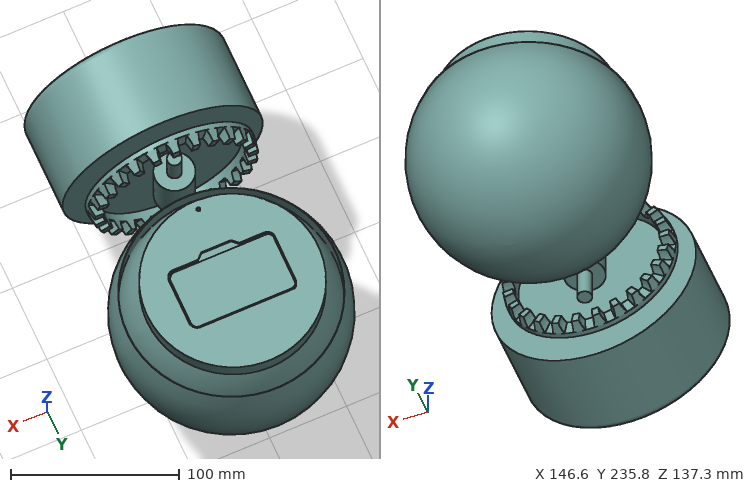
import cadquery as cq
import math


bowl_radius = 73.3
bowl_rim_height = 29.2
bowl_mouth_radius = 67.0
ball_radius = 69.0
ball_tilt = -1.0
neck_radius = 55.5
neck_top_height = 51.6
neck_offset_y = 1.0

lid_length = 67.5
lid_width = 37.5
lid_corner_radius = 4.0
lid_thickness = 2.1
side_gap = 0.7
front_gap = 1.7
notch_depth = 3.5
notch_mouth_width = 26.9
notch_end_width = 19.3
pinhole_radius = 1.2
pinhole_depth = lid_thickness
pinhole_offset = 49.7

gear_x = -2.8
gear_z = 1.0
gear_front_y = -97.0
gear_rim_y = -93.3
gear_root_y = -91.7
gear_tip_y = -85.8
gear_radius = 54.5
gear_tip_radius = 53.0
gear_bore_radius = 47.0
tooth_count = 25
gap_root_width = 5.7
gap_middle_width = 8.0
gap_mouth_width = 9.0
gap_overrun = 2.4

roller_x = -2.0
roller_y = -87.0
roller_z = 6.0
roller_radius = 12.5
roller_length = 34.5
shaft_radius = 4.5
shaft_length = 74.3

drum_radius = 65.0
drum_length = 59.5
drum_x = -1.5
drum_z = -1.0
drum_front_y = -162.5
drum_fillet = 5.0


def make_bowl():
    mouth_depth = bowl_rim_height - math.sqrt(ball_radius**2 - bowl_mouth_radius**2)
    rim_plane = cq.Workplane("XY", origin=(0, 0, bowl_rim_height))
    above_rim = rim_plane.circle(bowl_radius).extrude(bowl_radius)
    mouth = rim_plane.circle(bowl_mouth_radius).extrude(-mouth_depth)
    seat = cq.Workplane("XY").sphere(ball_radius)
    return cq.Workplane("XY").sphere(bowl_radius).cut(above_rim).cut(mouth).cut(seat).solids()


def tilt(body):
    return body.rotate((0, 0, 0), (1, 0, 0), ball_tilt)


def neck_top():
    """Workplane on the top face of the untilted neck."""
    return cq.Workplane("XY", origin=(0, neck_offset_y, neck_top_height))


def make_lid():
    lid = neck_top().rect(lid_length, lid_width).extrude(-lid_thickness)
    return tilt(lid.edges("|Z").fillet(lid_corner_radius).solids())


def make_lid_pocket():
    """Pocket around the lid, with a finger notch in its front edge."""
    pocket_length = lid_length + 2 * side_gap
    pocket_width = lid_width + side_gap + front_gap
    front_edge = -lid_width / 2 - front_gap
    pocket = (
        neck_top()
        .center(0, front_edge + pocket_width / 2)
        .rect(pocket_length, pocket_width)
        .extrude(-lid_thickness)
        .edges("|Z")
        .fillet(lid_corner_radius + side_gap)
    )
    notch = (
        neck_top()
        .moveTo(-notch_mouth_width / 2, front_edge)
        .lineTo(-notch_end_width / 2, front_edge - notch_depth)
        .lineTo(notch_end_width / 2, front_edge - notch_depth)
        .lineTo(notch_mouth_width / 2, front_edge)
        .close()
        .extrude(-lid_thickness)
    )
    return pocket.union(notch)


def make_ball():
    ball = cq.Workplane("XY").sphere(ball_radius)
    above_neck = neck_top().circle(bowl_radius).extrude(bowl_radius)
    neck = neck_top().circle(neck_radius).extrude(-neck_top_height)
    pinhole = neck_top().center(0, -pinhole_offset).circle(pinhole_radius).extrude(-pinhole_depth)
    ball = ball.cut(above_neck).union(neck)
    return tilt(ball.cut(make_lid_pocket()).cut(pinhole).solids())


def gap_section(radius, root_y):
    """Outline of the gap between two teeth at the given gear radius, narrowing towards the gear axis."""
    scale = radius / gear_radius
    half_root = gap_root_width / 2 * scale
    half_middle = gap_middle_width / 2 * scale
    half_mouth = gap_mouth_width / 2 * scale
    middle_y = (root_y + gear_tip_y) / 2
    return (
        cq.Workplane("XY", origin=(0, 0, radius))
        .moveTo(-half_root, root_y)
        .threePointArc((-half_middle, middle_y), (-half_mouth, gear_tip_y))
        .lineTo(-half_mouth, gear_tip_y + gap_overrun)
        .lineTo(half_mouth, gear_tip_y + gap_overrun)
        .lineTo(half_mouth, gear_tip_y)
        .threePointArc((half_middle, middle_y), (half_root, root_y))
        .close()
        .wires()
        .val()
    )


def make_gap():
    """Wedge that cuts one gap, running past both ends of the teeth."""
    root_slope = (gear_root_y - gear_rim_y) / (gear_radius - gear_bore_radius)
    inner_section = gap_section(gear_bore_radius - gap_overrun, gear_root_y + root_slope * gap_overrun)
    outer_section = gap_section(gear_radius + gap_overrun, gear_rim_y - root_slope * gap_overrun)
    return cq.Solid.makeLoft([inner_section, outer_section], True)


def make_gear():
    blank = (
        cq.Workplane("XY")
        .polyline([
            (gear_bore_radius, gear_front_y),
            (gear_radius, gear_front_y),
            (gear_radius, gear_rim_y),
            (gear_tip_radius, gear_tip_y),
            (gear_bore_radius, gear_tip_y),
        ])
        .close()
        .revolve(360, (0, 0, 0), (0, 1, 0))
    )
    gap = make_gap()
    pitch = 360 / tooth_count
    gaps = [
        gap.rotate(cq.Vector(0, 0, 0), cq.Vector(0, 1, 0), (index + 0.5) * pitch)
        for index in range(tooth_count)
    ]
    gear = cq.Workplane(blank.val().cut(*gaps)).solids()
    return gear.translate((gear_x, 0, gear_z))


def make_roller():
    shaft_end = shaft_length / 2
    body_end = roller_length / 2
    profile = [
        (0, -shaft_end),
        (shaft_radius, -shaft_end),
        (shaft_radius, -body_end),
        (roller_radius, -body_end),
        (roller_radius, body_end),
        (shaft_radius, body_end),
        (shaft_radius, shaft_end),
        (0, shaft_end),
    ]
    roller = cq.Workplane("XZ").polyline(profile).close().revolve(360, (0, 0, 0), (0, 1, 0))
    return roller.translate((roller_x, roller_y, roller_z))


def make_drum():
    front = cq.Workplane("XZ", origin=(drum_x, drum_front_y, drum_z))
    drum = front.circle(drum_radius).extrude(-drum_length)
    return drum.faces("<Y").edges().fillet(drum_fillet).solids()


bowl = make_bowl()
ball = make_ball()
lid = make_lid()
gear = make_gear()
roller = make_roller()
drum = make_drum()

result = cq.Compound.makeCompound([
    bowl.val(),
    ball.val(),
    lid.val(),
    gear.val(),
    roller.val(),
    drum.val(),
])